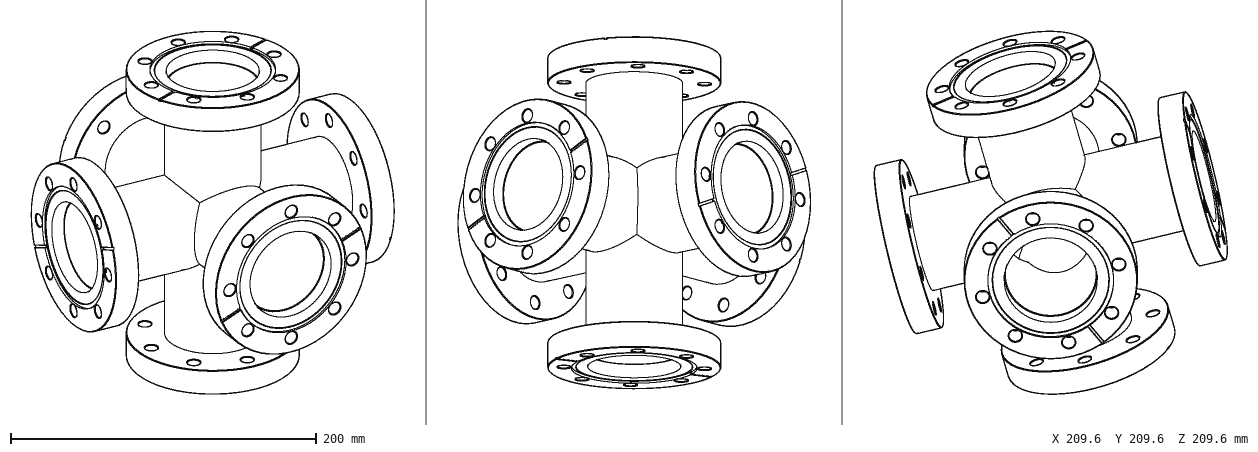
import cadquery as cq

overall_size = 209.6
face_distance = overall_size / 2

tube_outer_diameter = 63.5
tube_inner_diameter = 59.5

flange_diameter = 113.5
flange_bore_diameter = 61
flange_thickness = 17.5
rim_chamfer = 0.5
socket_depth = 7.5
flange_back_distance = face_distance - flange_thickness
tube_end_distance = flange_back_distance + socket_depth

recess_diameter = 82.4
recess_depth = 1.7
knife_diameter = 76.8
knife_tip_depth = 0.6
inner_face_diameter = 76.1
inner_face_depth = 1.0

bolt_count = 8
bolt_circle_diameter = 92.2
bolt_hole_diameter = 8.4
bolt_hole_chamfer = 0.5

groove_width = 1.8
groove_depth = 1.0
groove_angle = 22.5

ports = [
    ((0, -1, 0), (1, 0, 0)),
    ((0, 1, 0), (-1, 0, 0)),
    ((-1, 0, 0), (0, -1, 0)),
    ((1, 0, 0), (0, 1, 0)),
    ((0, 0, 1), (0, 1, 0)),
    ((0, 0, -1), (0, 1, 0)),
]


def three_way_cylinders(diameter, half_length):
    """Three cylinders along X, Y and Z, crossing at the origin."""
    cylinders = cq.Workplane("XY")
    for plane in ("YZ", "XZ", "XY"):
        cylinders = cylinders.union(
            cq.Workplane(plane).circle(diameter / 2).extrude(half_length, both=True)
        )
    return cylinders


def make_cross_tube():
    outside = three_way_cylinders(tube_outer_diameter, tube_end_distance)
    return outside.cut(three_way_cylinders(tube_inner_diameter, face_distance))


def flange_blank():
    """Turned flange, drawn as radius and height above its back face, and revolved about its axis."""
    bore_radius = flange_bore_diameter / 2
    socket_radius = tube_outer_diameter / 2
    rim_radius = flange_diameter / 2
    recess_radius = recess_diameter / 2
    knife_radius = knife_diameter / 2
    inner_face_radius = inner_face_diameter / 2
    profile = [
        (socket_radius, 0),
        (rim_radius - rim_chamfer, 0),
        (rim_radius, rim_chamfer),
        (rim_radius, flange_thickness - rim_chamfer),
        (rim_radius - rim_chamfer, flange_thickness),
        (recess_radius, flange_thickness),
        (recess_radius, flange_thickness - recess_depth),
        (knife_radius, flange_thickness - knife_tip_depth),
        (inner_face_radius, flange_thickness - inner_face_depth),
        (bore_radius, flange_thickness - inner_face_depth),
        (bore_radius, socket_depth),
        (socket_radius, socket_depth),
    ]
    return cq.Workplane("XZ").polyline(profile).close().revolve(360, (0, 0), (0, 1))


def bolt_holes():
    """Through-hole cutters, widened by a chamfer at both faces of the flange."""
    hole_radius = bolt_hole_diameter / 2
    mouth_radius = hole_radius + bolt_hole_chamfer
    profile = [
        (0, 0),
        (mouth_radius, 0),
        (hole_radius, bolt_hole_chamfer),
        (hole_radius, flange_thickness - bolt_hole_chamfer),
        (mouth_radius, flange_thickness),
        (0, flange_thickness),
    ]
    cutter = cq.Workplane("XZ").polyline(profile).close().revolve(360, (0, 0), (0, 1)).val()
    return (
        cq.Workplane("XY")
        .polarArray(bolt_circle_diameter / 2, 0, 360, bolt_count)
        .eachpoint(lambda place: cutter.moved(place))
    )


def leak_check_grooves():
    """Two opposite grooves running from the gasket recess out through the rim."""
    groove_bar = cq.Workplane("XY").box(
        flange_diameter, groove_width, groove_depth, centered=(True, True, False)
    )
    inside_recess = cq.Workplane("XY").circle(recess_diameter / 2).extrude(groove_depth)
    grooves = groove_bar.cut(inside_recess).rotate((0, 0, 0), (0, 0, 1), groove_angle)
    return grooves.translate((0, 0, flange_thickness - groove_depth))


def make_flange():
    """Flange with its back face on the XY plane and its sealing face toward +Z."""
    return flange_blank().cut(bolt_holes()).cut(leak_check_grooves())


def place_on_port(flange, outward, groove_reference):
    back_centre = cq.Vector(*outward) * flange_back_distance
    port_plane = cq.Plane(origin=back_centre, xDir=groove_reference, normal=outward)
    return flange.val().moved(cq.Location(port_plane))


cross_tube = make_cross_tube()
flange = make_flange()
flanges = [place_on_port(flange, outward, reference) for outward, reference in ports]

result = cq.Compound.makeCompound([cross_tube.val(), *flanges])